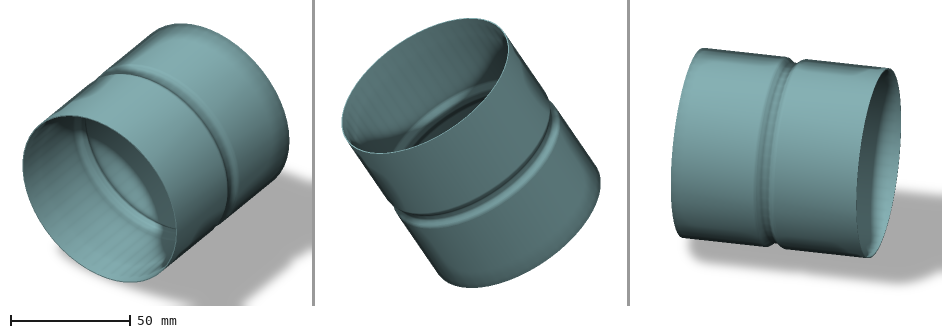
import cadquery as cq
import math

outer_diameter = 80.25
length = 80.0
wall = 0.5
groove_diameter = 76.2
floor_width = 1.7
shoulder_radius = 2.25
valley_radius = 1.1
flank_angle = math.radians(37)

tube_radius = outer_diameter / 2
floor_radius = groove_diameter / 2
half_length = length / 2

valley_y = floor_width / 2
valley_center_x = floor_radius + valley_radius
shoulder_center_x = tube_radius - shoulder_radius
bend_radii = shoulder_radius + valley_radius
flank_drop = tube_radius - floor_radius - bend_radii * (1 - math.cos(flank_angle))
shoulder_y = valley_y + bend_radii * math.sin(flank_angle) + flank_drop / math.tan(flank_angle)


def grooved_body(inset):
    """Solid of revolution whose skin lies `inset` below the outside of the sleeve."""
    shoulder_bend = shoulder_radius - inset
    valley_bend = valley_radius + inset

    def shoulder_point(side, angle):
        return (shoulder_center_x + shoulder_bend * math.cos(angle),
                side * (shoulder_y - shoulder_bend * math.sin(angle)))

    def valley_point(side, angle):
        return (valley_center_x - valley_bend * math.cos(angle),
                side * (valley_y + valley_bend * math.sin(angle)))

    middle = flank_angle / 2
    return (
        cq.Workplane("XY")
        .moveTo(0, -half_length)
        .lineTo(tube_radius - inset, -half_length)
        .lineTo(*shoulder_point(-1, 0))
        .threePointArc(shoulder_point(-1, middle), shoulder_point(-1, flank_angle))
        .lineTo(*valley_point(-1, flank_angle))
        .threePointArc(valley_point(-1, middle), valley_point(-1, 0))
        .lineTo(*valley_point(1, 0))
        .threePointArc(valley_point(1, middle), valley_point(1, flank_angle))
        .lineTo(*shoulder_point(1, flank_angle))
        .threePointArc(shoulder_point(1, middle), shoulder_point(1, 0))
        .lineTo(tube_radius - inset, half_length)
        .lineTo(0, half_length)
        .close()
        .revolve(360, (0, 0, 0), (0, 1, 0))
    )


result = grooved_body(0).cut(grooved_body(wall))